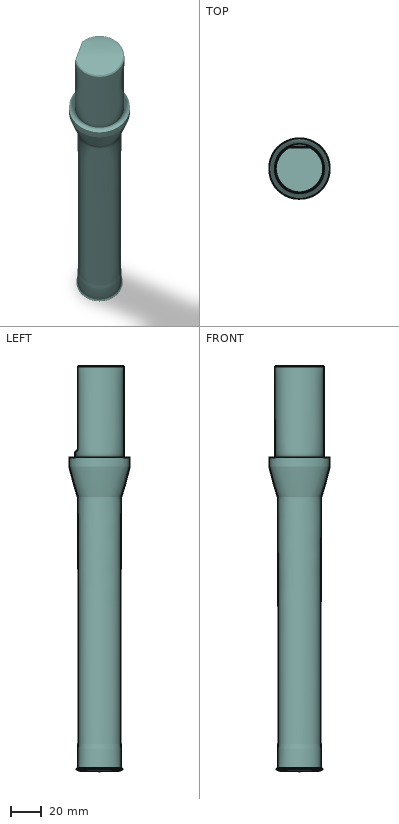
import cadquery as cq

overall_length = 263.0
collar_top = 203.5
collar_bottom = 197.8
cone_end = 178.0
upper_taper_top = 173.3
upper_taper_bottom = 106.8
lower_taper_top = 18.0
lower_taper_bottom = 14.7
head_top = 2.4
head_rim_top = 1.5
head_rim_bottom = 1.3
head_face_height = 0.3

shank_radius = 32.0 / 2
collar_radius = 39.5 / 2
body_radius = 28.5 / 2
neck_radius = 28.0 / 2
head_rim_radius = 15.0
head_face_radius = 12.5

cone_middle = (17.4, 188.5)
cone_foot = (15.0, 180.5)

shank_chamfer = 0.8
flat_offset = 14.2
flat_runout_start = 5.0


def revolve_profile(profile):
    """Revolve a closed radius/height profile about the Z axis."""
    return profile.close().revolve(360, (0, 0, 0), (0, 1, 0))


def make_shank():
    """Cylindrical shank with a +Y flat that runs out at 45 degrees above the collar."""
    shank = cq.Workplane("XY").workplane(offset=collar_top)
    shank = shank.circle(shank_radius).extrude(overall_length - collar_top)
    flat_bottom = collar_top + flat_runout_start
    cut_depth = collar_radius - flat_offset
    flat_cutter = (
        cq.Workplane("YZ")
        .moveTo(flat_offset, flat_bottom)
        .lineTo(flat_offset, overall_length)
        .lineTo(collar_radius, overall_length)
        .lineTo(collar_radius, flat_bottom - cut_depth)
        .close()
        .extrude(collar_radius, both=True)
    )
    return shank.cut(flat_cutter).faces(">Z").edges().chamfer(shank_chamfer)


def make_stem():
    """Collar, smooth conical neck and slightly relieved body below the shank."""
    collar_edge = (collar_radius, collar_bottom)
    body_edge = (body_radius, cone_end)
    profile = (
        cq.Workplane("XZ")
        .moveTo(0, collar_top)
        .lineTo(collar_radius, collar_top)
        .lineTo(*collar_edge)
        .spline([cone_middle, cone_foot, body_edge], includeCurrent=True)
        .lineTo(body_radius, upper_taper_top)
        .lineTo(neck_radius, upper_taper_bottom)
        .lineTo(neck_radius, lower_taper_top)
        .lineTo(body_radius, lower_taper_bottom)
        .lineTo(body_radius, head_top)
        .lineTo(0, head_top)
    )
    return revolve_profile(profile)


def make_holder():
    """Tool holder: the shank and the stem as one solid."""
    return make_stem().union(make_shank())


def make_cutting_head():
    """Round cutting head with a flared top, a bevelled lower edge and a shallow conical tip."""
    profile = (
        cq.Workplane("XZ")
        .moveTo(0, head_top)
        .lineTo(body_radius, head_top)
        .lineTo(head_rim_radius, head_rim_top)
        .lineTo(head_rim_radius, head_rim_bottom)
        .lineTo(head_face_radius, head_face_height)
        .lineTo(0, 0)
    )
    return revolve_profile(profile)


holder = make_holder()
cutting_head = make_cutting_head()

result = cq.Compound.makeCompound([holder.solids().val(), cutting_head.val()])